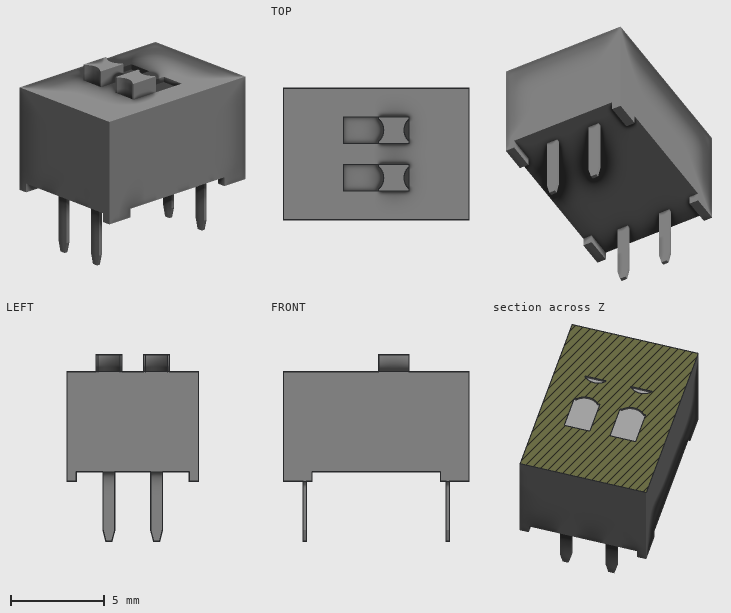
import cadquery as cq


body_length = 9.9
body_width = 7.03
body_height = 5.85
foot_length = 1.53
foot_width = 0.51
foot_height = 0.5

switch_pitch = 2.54
switch_rows = (-switch_pitch / 2, switch_pitch / 2)

slot_length = 3.5
slot_width = 1.4
slot_depth = 0.3

slider_length = 1.62
slider_height = 0.9
scoop_chord = 1.18
scoop_depth = 0.27

pin_row_spacing = 7.62
pin_thickness = 0.2
pin_width = 0.635
pin_length = 3.2
pin_tip_width = 0.33
pin_tip_length = 0.6


def make_housing():
    """Block with a crossed relief underneath that leaves four corner feet."""
    housing = cq.Workplane("XY").box(body_length, body_width, body_height, centered=(True, True, False))
    relief_length = body_length - 2 * foot_length
    relief_width = body_width - 2 * foot_width
    for length, width in ((relief_length, body_width), (body_length, relief_width)):
        relief = cq.Workplane("XY").box(length, width, foot_height, centered=(True, True, False))
        housing = housing.cut(relief)
    return housing


def make_slot(row_y):
    """Shallow rectangular pocket that the slider travels in."""
    return (
        cq.Workplane("XY", origin=(0, row_y, body_height - slot_depth))
        .rect(slot_length, slot_width)
        .extrude(slot_depth)
    )


def make_slider(row_y):
    """Slider with a concave finger scoop in both ends, standing on the slot floor."""
    right = slot_length / 2
    left = right - slider_length
    half_width = slot_width / 2
    half_chord = scoop_chord / 2
    return (
        cq.Workplane("XY", origin=(0, row_y, body_height - slot_depth))
        .moveTo(left, -half_width)
        .lineTo(right, -half_width)
        .lineTo(right, -half_chord)
        .threePointArc((right - scoop_depth, 0), (right, half_chord))
        .lineTo(right, half_width)
        .lineTo(left, half_width)
        .lineTo(left, half_chord)
        .threePointArc((left + scoop_depth, 0), (left, -half_chord))
        .close()
        .extrude(slot_depth + slider_height)
    )


def make_pin(pin_x, row_y):
    """Flat pin with a tapered tip, hanging from the relieved underside."""
    half_width = pin_width / 2
    half_tip = pin_tip_width / 2
    taper_z = pin_tip_length - pin_length
    return (
        cq.Workplane("YZ", origin=(pin_x - pin_thickness / 2, row_y, 0))
        .moveTo(-half_width, foot_height)
        .lineTo(-half_width, taper_z)
        .lineTo(-half_tip, -pin_length)
        .lineTo(half_tip, -pin_length)
        .lineTo(half_width, taper_z)
        .lineTo(half_width, foot_height)
        .close()
        .extrude(pin_thickness)
    )


result = make_housing()
for row_y in switch_rows:
    result = result.cut(make_slot(row_y)).union(make_slider(row_y))
    for pin_x in (-pin_row_spacing / 2, pin_row_spacing / 2):
        result = result.union(make_pin(pin_x, row_y))